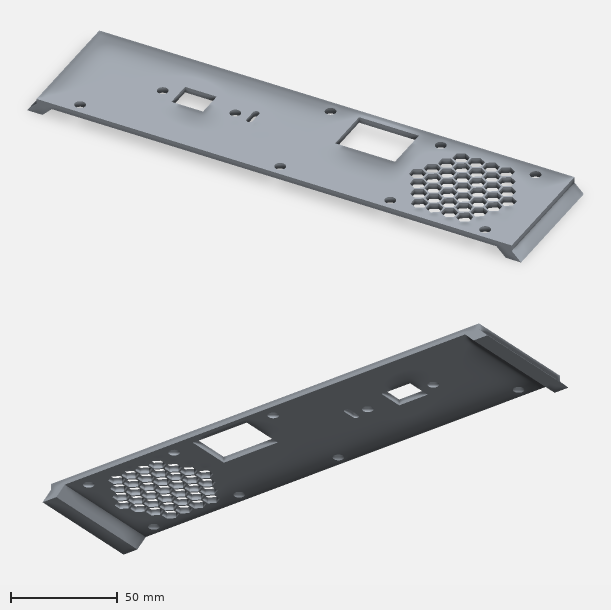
import cadquery as cq
import math

LENGTH = 261.5
WIDTH = 62.5
PLATE_THICKNESS = 3.1
FOOT_DROP = 5.0
HEIGHT = PLATE_THICKNESS + FOOT_DROP
FOOT_WIDTH = 8.0

FAN_X = 83.7
FAN_Y = -0.65
FAN_SCREW_SPACING = 50.2
HEX_ACROSS_FLATS = 7.0
HEX_WALL = 0.92
HEX_RINGS = 3

SCREW_DIAMETER = 5.5
MIDDLE_SCREW_X = 0.3
CORNER_SCREW_X = -105.7

WINDOW_LENGTH = 31.6
WINDOW_WIDTH = 23.8
WINDOW_CENTER = (30.0, 14.6)

SOCKET_LENGTH = 16.7
SOCKET_WIDTH = 13.5
SOCKET_CENTER = (-60.7, 3.1)
SOCKET_SCREW_Y = 2.4
SOCKET_SCREW_XS = (-77.0, -38.5)

SLOT_LENGTH = 9.7
SLOT_WIDTH = 3.1
SLOT_CENTER = (-29.8, 3.7)


def make_body():
    """Flat plate on two outward-sloping feet, extruded across the width."""
    foot_tip = LENGTH / 2
    foot_heel = foot_tip - FOOT_WIDTH
    plate_end = foot_tip - FOOT_DROP
    inner_corner = foot_heel - FOOT_DROP
    right_half = [
        (inner_corner, FOOT_DROP),
        (foot_heel, 0),
        (foot_tip, 0),
        (plate_end, FOOT_DROP),
        (plate_end, HEIGHT),
    ]
    left_half = [(-x, z) for x, z in reversed(right_half)]
    outline = cq.Workplane("XZ").polyline(right_half + left_half).close()
    return outline.extrude(WIDTH / 2, both=True)


def hex_centers():
    """Centers of a hexagonal cluster of cells, row by row."""
    pitch = HEX_ACROSS_FLATS + HEX_WALL
    row_pitch = pitch * math.sqrt(3) / 2
    centers = []
    for row in range(-HEX_RINGS, HEX_RINGS + 1):
        cell_count = 2 * HEX_RINGS + 1 - abs(row)
        for cell in range(cell_count):
            x = FAN_X + (cell - (cell_count - 1) / 2) * pitch
            centers.append((x, FAN_Y + row * row_pitch))
    return centers


def make_grille():
    """Hexagonal prisms with a corner pointing along Y."""
    corner_radius = HEX_ACROSS_FLATS / math.sqrt(3)
    corner_angles = [math.radians(30 + 60 * i) for i in range(6)]
    corners = [(corner_radius * math.cos(a), corner_radius * math.sin(a)) for a in corner_angles]
    prism = cq.Workplane("XY").polyline(corners).close().extrude(HEIGHT).val()
    return cq.Workplane("XY").pushPoints(hex_centers()).eachpoint(lambda place: prism.moved(place))


def screw_centers():
    """Two rows of screw holes along the long edges, plus the socket pair."""
    half_spacing = FAN_SCREW_SPACING / 2
    top_row = FAN_Y + half_spacing
    bottom_row = FAN_Y - half_spacing
    centers = [(CORNER_SCREW_X, bottom_row)]
    for x in (MIDDLE_SCREW_X, FAN_X - half_spacing, FAN_X + half_spacing):
        centers += [(x, top_row), (x, bottom_row)]
    centers += [(x, SOCKET_SCREW_Y) for x in SOCKET_SCREW_XS]
    return centers


def make_screw_holes():
    return cq.Workplane("XY").pushPoints(screw_centers()).circle(SCREW_DIAMETER / 2).extrude(HEIGHT)


def make_rectangle(center, length, width):
    return cq.Workplane("XY").center(*center).rect(length, width).extrude(HEIGHT)


def make_slot():
    return cq.Workplane("XY").center(*SLOT_CENTER).slot2D(SLOT_LENGTH, SLOT_WIDTH, 90).extrude(HEIGHT)


result = (
    make_body()
    .cut(make_grille())
    .cut(make_screw_holes())
    .cut(make_rectangle(WINDOW_CENTER, WINDOW_LENGTH, WINDOW_WIDTH))
    .cut(make_rectangle(SOCKET_CENTER, SOCKET_LENGTH, SOCKET_WIDTH))
    .cut(make_slot())
)